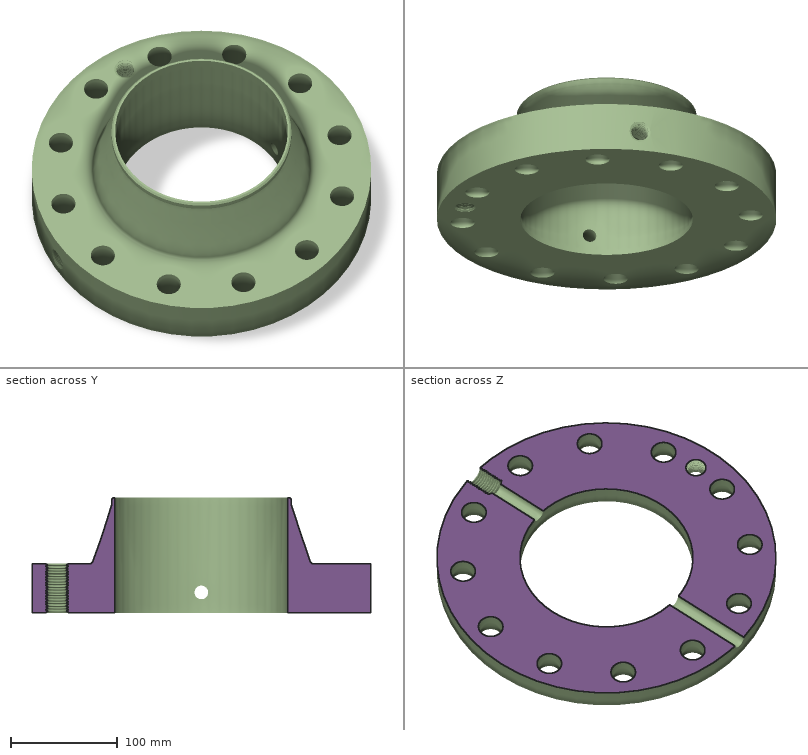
import cadquery as cq
import math

flange_diameter = 317.5
flange_radius = flange_diameter / 2
flange_thickness = 46.0
bolt_circle_radius = 135.0
bolt_hole_diameter = 22.5
bolt_count = 12

overall_height = 108.0
bore_radius = 80.5
neck_radius = 84.0
land_height = 6.7
weld_chamfer = 1.5
hub_foot_radius = 102.5
hub_fillet_radius = 3.2

thread_pitch = 2.5
thread_major_radius = 10.2
thread_minor_radius = 8.3
thread_flat = thread_pitch / 8

tap_height = 19.0
tap_thread_turns = 10
tap_bore_radius = 6.5
drill_point_angle = 118.0


def make_body():
    """Revolved flange and hub, with the hub foot filleted and the main bore cut through."""
    land_bottom = overall_height - land_height
    blank = (
        cq.Workplane("XZ")
        .lineTo(flange_radius, 0)
        .lineTo(flange_radius, flange_thickness)
        .lineTo(hub_foot_radius, flange_thickness)
        .lineTo(neck_radius, land_bottom)
        .lineTo(neck_radius, overall_height - weld_chamfer)
        .lineTo(neck_radius - weld_chamfer, overall_height)
        .lineTo(0, overall_height)
        .close()
        .revolve(360, (0, 0, 0), (0, 1, 0))
    )
    hub_foot = cq.selectors.RadiusNthSelector(-2)
    blank = blank.edges("%CIRCLE").edges(hub_foot).fillet(hub_fillet_radius)
    bore = cq.Workplane("XY").circle(bore_radius).extrude(overall_height)
    return blank.cut(bore)


def make_bolt_holes():
    """Through holes straddling the X and Y axes."""
    half_spacing = 180 / bolt_count
    return (
        cq.Workplane("XY")
        .polarArray(bolt_circle_radius, half_spacing, 360, bolt_count)
        .circle(bolt_hole_diameter / 2)
        .extrude(flange_thickness)
    )


def thread_points(turns):
    """Trapezoidal outline of a thread as (radius, depth), starting and ending on the major radius."""
    points = [(thread_major_radius, 0)]
    for turn in range(turns):
        crest_middle = (turn + 0.5) * thread_pitch
        groove_middle = (turn + 1) * thread_pitch
        points.append((thread_major_radius, turn * thread_pitch + thread_flat / 2))
        points.append((thread_minor_radius, crest_middle - thread_flat / 2))
        points.append((thread_minor_radius, crest_middle + thread_flat / 2))
        points.append((thread_major_radius, groove_middle - thread_flat / 2))
    points.append((thread_major_radius, turns * thread_pitch))
    return points


def make_cutter(outline):
    """Solid of revolution about Y from an outline of (radius, depth) points, with depth along +Y."""
    return cq.Workplane("XY").polyline(outline).close().revolve(360, (0, 0, 0), (0, 1, 0))


def make_jack_thread():
    """Threaded cutter through the whole flange, on the bolt circle at -X."""
    turns = math.ceil(flange_thickness / thread_pitch)
    cutter = make_cutter([(0, 0)] + thread_points(turns) + [(0, turns * thread_pitch)])
    pointing_down = cutter.rotate((0, 0, 0), (1, 0, 0), -90)
    return pointing_down.translate((-bolt_circle_radius, 0, flange_thickness))


def make_pressure_tap():
    """Cutter from the -Y rim, with a narrow bore that runs on through the opposite wall."""
    cone_length = (thread_major_radius - tap_bore_radius) / math.tan(math.radians(drill_point_angle / 2))
    cone_end = tap_thread_turns * thread_pitch + cone_length
    narrow_bore = [(tap_bore_radius, cone_end), (tap_bore_radius, flange_diameter), (0, flange_diameter)]
    cutter = make_cutter([(0, 0)] + thread_points(tap_thread_turns) + narrow_bore)
    return cutter.translate((0, -flange_radius, tap_height))


result = make_body()
for opening in (make_bolt_holes(), make_jack_thread(), make_pressure_tap()):
    result = result.cut(opening)